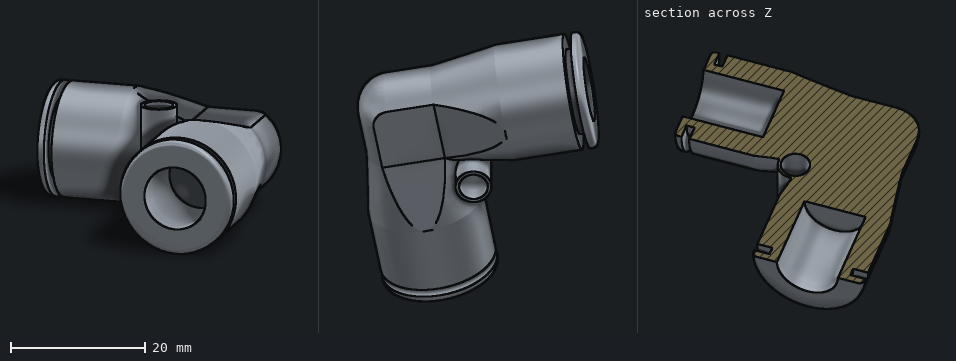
import cadquery as cq
import math

overall_length = 36.2
port_diameter = 17.52
port_radius = port_diameter / 2
port_reach = overall_length - port_radius

collar_thickness = 1.23
groove_end = 2.43
body_end = 12.67
taper_end = 22.7
bore_depth = body_end

groove_radius = 6.4
bore_radius = 4.78
collar_fillet = 0.75

neck_radius = 7.15
neck_half_height = 5.35
bend_center = 2.3

tube_offset = -8.4
tube_radius = 2.68
tube_hole_radius = 2.15


def axial_cylinder(radius, start, end):
    """Cylinder around X between two distances from the port face."""
    return cq.Workplane("YZ", origin=(start - port_reach, 0, 0)).circle(radius).extrude(end - start)


def make_port():
    """Release collar, groove and cylindrical body of the -X port."""
    collar = axial_cylinder(port_radius, 0, collar_thickness).faces("<X").edges().fillet(collar_fillet)
    groove = axial_cylinder(groove_radius, 0, groove_end)
    body = axial_cylinder(port_radius, groove_end, body_end)
    return collar.union(groove).union(body)


def make_neck():
    """Cone and cylinder around X, cut by sloping then level flats."""
    taper_start_x = body_end - port_reach
    taper_end_x = taper_end - port_reach
    round_neck = (
        cq.Workplane("XY")
        .moveTo(taper_start_x, 0)
        .lineTo(taper_start_x, port_radius)
        .lineTo(taper_end_x, neck_radius)
        .lineTo(bend_center, neck_radius)
        .lineTo(bend_center, 0)
        .close()
        .revolve(360, (0, 0, 0), (1, 0, 0))
    )
    flat_outline = (
        cq.Workplane("XZ")
        .polyline([
            (taper_start_x, port_radius),
            (taper_end_x, neck_half_height),
            (bend_center, neck_half_height),
            (bend_center, -neck_half_height),
            (taper_end_x, -neck_half_height),
            (taper_start_x, -port_radius),
        ])
        .close()
        .extrude(port_radius, both=True)
    )
    return round_neck.intersect(flat_outline)


def make_bend():
    """Quarter turn of the outer part of the neck section around the bend center."""
    flat_half_width = math.sqrt(neck_radius**2 - neck_half_height**2)
    return (
        cq.Workplane("XZ", origin=(0, bend_center, 0))
        .moveTo(bend_center, -neck_half_height)
        .lineTo(flat_half_width, -neck_half_height)
        .threePointArc((neck_radius, 0), (flat_half_width, neck_half_height))
        .lineTo(bend_center, neck_half_height)
        .close()
        .revolve(90, (bend_center, 0, 0), (bend_center, 1, 0))
    )


def swap_to_y(shape):
    """Copy of an X-axis shape along Y, by mirroring X and turning a quarter."""
    return shape.mirror("YZ").rotate((0, 0, 0), (0, 0, 1), -90)


def tube_cylinder(radius):
    """Full-height vertical cylinder on the mounting tube axis."""
    return (
        cq.Workplane("XY")
        .center(tube_offset, tube_offset)
        .circle(radius)
        .extrude(port_radius, both=True)
    )


leg = make_port().union(make_neck())
bore = axial_cylinder(bore_radius, 0, bore_depth)

result = (
    leg.union(swap_to_y(leg))
    .union(make_bend())
    .union(tube_cylinder(tube_radius))
    .cut(bore)
    .cut(swap_to_y(bore))
    .cut(tube_cylinder(tube_hole_radius))
)